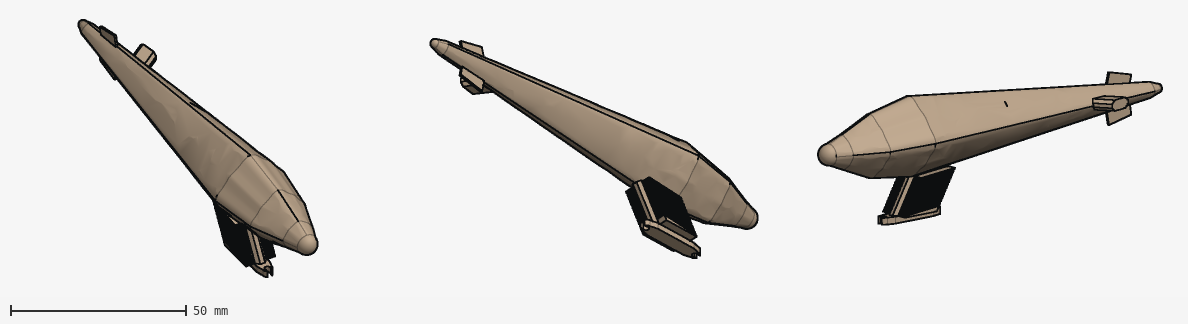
import cadquery as cq
import math

LENGTH = 127.9
BOTTOM_Z = -23.7

TAIL_RADIUS = 1.4
NOSE_RADIUS = 3.2
NOSE_Y = 1.3
BODY_STATIONS = [
    (TAIL_RADIUS, 0, 0, TAIL_RADIUS, TAIL_RADIUS, 0),
    (4.3, 0, 0, 2.4, 2.4, 0.5),
    (94.2, 0.6, 0.5, 11.6, 11.9, 1),
    (109.2, 0.9, 0, 9.2, 9.5, 1),
    (120.0, NOSE_Y, 0, 5.1, 5.1, 0.6),
    (LENGTH - NOSE_RADIUS, NOSE_Y, 0, NOSE_RADIUS, NOSE_RADIUS, 0),
]
DIAMOND_DEPTH = 0.08
RIPPLE_DEPTH = 0.03
POINTS_PER_QUARTER = 8

BASE_START_X = 83.1
BASE_END_X = 105.4
BASE_WIDTH = 4.3
BASE_HEIGHT = 2.0
BASE_TOP_Z = BOTTOM_Z + BASE_HEIGHT
BASE_WIDE_START_X = 87.2
BASE_WIDE_END_X = 101.4
EYELET_RADIUS = 1.5
EYELET_HOLE_RADIUS = 0.9
EYELET_SLOT_WIDTH = 1.5

PYLON_Y = 0.6
PYLON_LEAN = 30.0
PYLON_START_X = 87.0
PYLON_LENGTH = 14.2
PYLON_WIDTH = 3.7
PYLON_EDGE_WIDTH = 1.5
PYLON_EDGE_LENGTH = 1.2
PYLON_TOP_Z = -3.8

FIN_WIDTH = 9.7
FIN_TILT = 5.0
FIN_PITCH = 0.86
FIN_THICKNESS = FIN_PITCH / 2
FIN_COUNT = 12
TOP_FIN_Z = -9.8
FOOT_TOP_Z = TOP_FIN_Z - FIN_COUNT * FIN_PITCH

RUDDER_THICKNESS = 0.6
UPPER_RUDDER = [(12.7, 0), (11.3, 5.6), (19.5, 7.5), (21.4, 0)]
LOWER_RUDDER = [(12.3, 0), (11.3, -6.1), (19.6, -7.9), (21.1, 0)]
WING_TIP_X = 19.3
WING_TIP_Y = 8.5
WING_TIP_RISE = 1.2
WING_CHORD = 6.9
WING_SWEEP = 36.0
WING_THICKNESS = 3.2
WING_Z = 0.4
WING_EDGE_CHAMFER = 1.0


def body_section(x, centre_y, centre_z, half_width, half_height, diamond):
    """Closed wire of four curved quarters meeting at the ridges."""
    def point(angle):
        inset = DIAMOND_DEPTH * (1 - math.cos(4 * angle)) + RIPPLE_DEPTH * (1 - math.cos(8 * angle))
        reach = 1 - diamond * inset
        y = centre_y + half_width * reach * math.cos(angle)
        z = centre_z + half_height * reach * math.sin(angle)
        return cq.Vector(x, y, z)

    step = math.pi / 2 / POINTS_PER_QUARTER
    quarters = []
    for quarter in range(4):
        first = quarter * POINTS_PER_QUARTER
        points = [point(step * (first + i)) for i in range(POINTS_PER_QUARTER + 1)]
        if diamond == 0:
            middle = points[POINTS_PER_QUARTER // 2]
            quarters.append(cq.Edge.makeThreePointArc(points[0], middle, points[-1]))
        else:
            quarters.append(cq.Edge.makeSpline(points))
    return cq.Wire.assembleEdges(quarters)


def make_dome(tip_x, depth, centre_y):
    """Hemisphere with its tip at tip_x, reaching by depth (signed) to its flat face."""
    halfway = depth * math.sqrt(0.5)
    quarter_disc = (
        cq.Workplane("XY", origin=(tip_x + depth, centre_y, 0))
        .moveTo(-depth, 0)
        .threePointArc((-halfway, abs(halfway)), (0, abs(depth)))
        .lineTo(0, 0)
        .close()
    )
    return quarter_disc.revolve(360, (0, 0, 0), (1, 0, 0))


def make_body():
    sections = [body_section(*station) for station in BODY_STATIONS]
    taper = cq.Workplane(cq.Solid.makeLoft(sections, True))
    tail = make_dome(0, TAIL_RADIUS, 0)
    nose = make_dome(LENGTH, -NOSE_RADIUS, NOSE_Y)
    return taper.union(tail).union(nose)


def make_base():
    half_width = BASE_WIDTH / 2
    outline = [
        (BASE_START_X + EYELET_RADIUS, EYELET_RADIUS),
        (BASE_WIDE_START_X, half_width),
        (BASE_WIDE_END_X, half_width),
        (BASE_END_X - EYELET_RADIUS, EYELET_RADIUS),
    ]
    mirrored = [(x, -y) for x, y in reversed(outline)]
    plane = cq.Workplane("XY", origin=(0, PYLON_Y, BOTTOM_Z))
    base = plane.polyline(outline + mirrored).close().extrude(BASE_HEIGHT)
    eyelets = [(BASE_START_X + EYELET_RADIUS, 0), (BASE_END_X - EYELET_RADIUS, 0)]
    base = base.union(plane.pushPoints(eyelets).circle(EYELET_RADIUS).extrude(BASE_HEIGHT))
    base = base.cut(plane.pushPoints(eyelets).circle(EYELET_HOLE_RADIUS).extrude(BASE_HEIGHT))
    slot_centres = [(BASE_START_X, 0), (BASE_END_X, 0)]
    slots = plane.pushPoints(slot_centres).rect(2 * EYELET_RADIUS, EYELET_SLOT_WIDTH).extrude(BASE_HEIGHT)
    return base.cut(slots)


def lean_offset(z):
    """Shift along X of the leaning pylon at height z."""
    return -(z - BASE_TOP_Z) * math.tan(math.radians(PYLON_LEAN))


def make_pylon():
    half_edge = PYLON_EDGE_WIDTH / 2
    half_width = PYLON_WIDTH / 2

    def section(z):
        start = PYLON_START_X + lean_offset(z)
        end = start + PYLON_LENGTH
        side = [
            (start, half_edge),
            (start + PYLON_EDGE_LENGTH, half_width),
            (end - PYLON_EDGE_LENGTH, half_width),
            (end, half_edge),
        ]
        around = side + [(x, -y) for x, y in reversed(side)]
        return cq.Wire.makePolygon([cq.Vector(x, PYLON_Y + y, z) for x, y in around], close=True)

    return cq.Workplane(cq.Solid.makeLoft([section(BASE_TOP_Z), section(PYLON_TOP_Z)], True))


def make_slab(start_bottom_z, start_top_z, end_bottom_z, end_top_z):
    """Plate across both flanks of the pylon; its ends follow the lean."""
    start_x = PYLON_START_X + PYLON_EDGE_LENGTH
    end_x = PYLON_START_X + PYLON_LENGTH - PYLON_EDGE_LENGTH
    profile = [
        (start_x + lean_offset(start_bottom_z), start_bottom_z),
        (start_x + lean_offset(start_top_z), start_top_z),
        (end_x + lean_offset(end_top_z), end_top_z),
        (end_x + lean_offset(end_bottom_z), end_bottom_z),
    ]
    plane = cq.Workplane("XZ", origin=(0, PYLON_Y, 0))
    return plane.polyline(profile).close().extrude(FIN_WIDTH / 2, both=True)


def make_fins():
    """Foot and stacked fins, all falling towards the nose."""
    fall = math.tan(math.radians(FIN_TILT)) * (PYLON_LENGTH - 2 * PYLON_EDGE_LENGTH)
    fins = make_slab(BASE_TOP_Z, FOOT_TOP_Z, BASE_TOP_Z, FOOT_TOP_Z - fall)
    for i in range(FIN_COUNT):
        top = TOP_FIN_Z - i * FIN_PITCH
        bottom = top - FIN_THICKNESS
        fins = fins.union(make_slab(bottom, top, bottom - fall, top - fall))
    return fins


def make_rudder(outline):
    return cq.Workplane("XZ").polyline(outline).close().extrude(RUDDER_THICKNESS / 2, both=True)


def make_wing():
    """Swept stub wing on the +Y side, with bevelled edges fore and aft."""
    root_shift = WING_TIP_Y * math.tan(math.radians(WING_SWEEP))
    outline = [
        (WING_TIP_X, WING_TIP_Y),
        (WING_TIP_X + WING_CHORD, WING_TIP_Y + WING_TIP_RISE),
        (WING_TIP_X + WING_CHORD + root_shift, WING_TIP_RISE),
        (WING_TIP_X + root_shift, 0),
    ]
    plane = cq.Workplane("XY", origin=(0, 0, WING_Z - WING_THICKNESS / 2))
    wing = plane.polyline(outline).close().extrude(WING_THICKNESS)
    sweep_edges = cq.selectors.ParallelDirSelector(cq.Vector(root_shift, -WING_TIP_Y, 0))
    return wing.edges(sweep_edges).chamfer(WING_EDGE_CHAMFER)


result = make_body()
for piece in (
    make_base(),
    make_pylon(),
    make_fins(),
    make_rudder(UPPER_RUDDER),
    make_rudder(LOWER_RUDDER),
    make_wing(),
):
    result = result.union(piece)